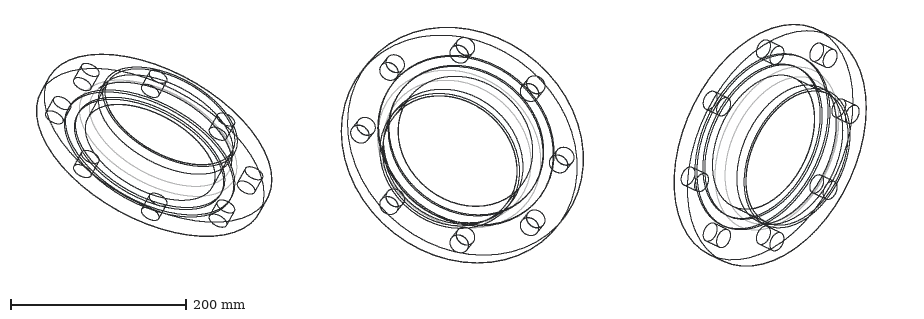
import cadquery as cq

flange_diameter = 285.0
overall_length = 58.0
raised_face_height = 3.0
flange_thickness = 22.0
weld_end_length = 12.0
recess_depth = raised_face_height

raised_face_diameter = 212.0
recess_diameter = 187.0
bore_diameter = 162.5
weld_end_diameter = 168.7
hub_base_diameter = 183.0
hub_fillet_radius = 10.0

bolt_circle_diameter = 240.0
bolt_hole_diameter = 22.2
bolt_hole_count = 8

flange_front = raised_face_height
flange_back = flange_front + flange_thickness
taper_end = overall_length - weld_end_length


def cylinder(diameter, start, end):
    """Solid cylinder on the Y axis between two Y positions."""
    return cq.Workplane("XZ", origin=(0, start, 0)).circle(diameter / 2).extrude(start - end)


def flange_body():
    """Flange, raised face and tapered weld neck, revolved about the Y axis."""
    profile = [
        (0, 0),
        (raised_face_diameter / 2, 0),
        (raised_face_diameter / 2, flange_front),
        (flange_diameter / 2, flange_front),
        (flange_diameter / 2, flange_back),
        (hub_base_diameter / 2, flange_back),
        (weld_end_diameter / 2, taper_end),
        (weld_end_diameter / 2, overall_length),
        (0, overall_length),
    ]
    body = cq.Workplane("XY").polyline(profile).close().revolve(360, (0, 0, 0), (0, 1, 0))
    hub_root = cq.selectors.RadiusNthSelector(1)
    return body.edges(hub_root).fillet(hub_fillet_radius)


def bolt_holes():
    """Through holes equally spaced on the bolt circle."""
    return (
        cq.Workplane("XZ", origin=(0, flange_front, 0))
        .polarArray(bolt_circle_diameter / 2, 0, 360, bolt_hole_count)
        .circle(bolt_hole_diameter / 2)
        .extrude(-flange_thickness)
    )


bore = cylinder(bore_diameter, 0, overall_length)
gasket_recess = cylinder(recess_diameter, 0, recess_depth)

result = flange_body().cut(bore).cut(gasket_recess).cut(bolt_holes())